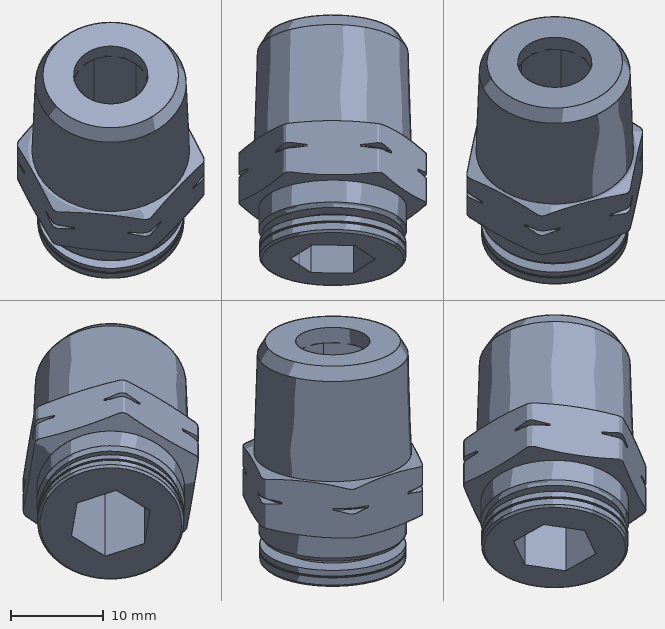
import cadquery as cq
import math

total_height = 25.5
flange_top = 1.96
flange_groove_middle = 1.17
collar_bottom = 2.93
hex_bottom = 5.97
hex_top = 12.55
thread_chamfer_start = 24.05

flange_diameter = 15.8
flange_chamfer = 0.25
flange_groove_width = 0.15
flange_groove_diameter = 15.6
neck_diameter = 11.53
collar_diameter = 16.0
collar_step_diameter = 15.6
collar_end_diameter = 15.25
collar_chamfer_top = 3.42
collar_step_height = 3.21

hex_across_flats = 17.85
hex_corner_radius = 1.0
hex_top_circle = 17.75
hex_bottom_circle = 16.0
hex_chamfer_angle = 15.0

notch_height = 9.66
notch_floor_diameter = 18.77
notch_floor_width = 0.18
notch_mouth_width = 0.76

thread_base_diameter = 17.03
thread_end_diameter = 16.32
thread_tip_diameter = 14.64

bore_diameter = 8.0
socket_across_flats = 7.95
socket_top = total_height - 1.78


def revolve_profile(points):
    """Revolve a closed (radius, height) outline about the Z axis."""
    return cq.Workplane("XZ").polyline(points).close().revolve(360, (0, 0), (0, 1))


def hex_prism(across_flats, bottom, top):
    """Upright hexagonal prism with flats facing +X and -X."""
    across_corners = across_flats / math.cos(math.pi / 6)
    prism = cq.Workplane("XY").polygon(6, across_corners).extrude(top - bottom)
    return prism.rotate((0, 0, 0), (0, 0, 1), 30).translate((0, 0, bottom))


def turned_body():
    flange_radius = flange_diameter / 2
    groove_radius = flange_groove_diameter / 2
    groove_bottom = flange_groove_middle - flange_groove_width / 2
    groove_top = flange_groove_middle + flange_groove_width / 2
    neck_radius = neck_diameter / 2
    return revolve_profile([
        (0, 0),
        (flange_radius - flange_chamfer, 0),
        (flange_radius, flange_chamfer),
        (flange_radius, groove_bottom),
        (groove_radius, groove_bottom),
        (groove_radius, groove_top),
        (flange_radius, groove_top),
        (flange_radius, flange_top),
        (neck_radius, flange_top),
        (neck_radius, collar_bottom),
        (collar_end_diameter / 2, collar_bottom),
        (collar_step_diameter / 2, collar_step_height),
        (collar_diameter / 2, collar_chamfer_top),
        (collar_diameter / 2, hex_top),
        (thread_base_diameter / 2, hex_top),
        (thread_end_diameter / 2, thread_chamfer_start),
        (thread_tip_diameter / 2, total_height),
        (0, total_height),
    ])


def chamfer_envelope():
    """Turned blank whose conical ends chamfer the hexagon corners."""
    outer_radius = hex_across_flats / 2 / math.cos(math.pi / 6)
    slope = math.tan(math.radians(hex_chamfer_angle))
    top_radius = hex_top_circle / 2
    bottom_radius = hex_bottom_circle / 2
    return revolve_profile([
        (0, hex_bottom),
        (bottom_radius, hex_bottom),
        (outer_radius, hex_bottom + slope * (outer_radius - bottom_radius)),
        (outer_radius, hex_top - slope * (outer_radius - top_radius)),
        (top_radius, hex_top),
        (0, hex_top),
    ])


def notch_ring():
    """Tapered ring that reaches only the hexagon corners."""
    floor_radius = notch_floor_diameter / 2
    mouth_radius = hex_across_flats / 2 / math.cos(math.pi / 6)
    return revolve_profile([
        (floor_radius, notch_height - notch_floor_width / 2),
        (mouth_radius, notch_height - notch_mouth_width / 2),
        (mouth_radius, notch_height + notch_mouth_width / 2),
        (floor_radius, notch_height + notch_floor_width / 2),
    ])


def wrench_section():
    blank = hex_prism(hex_across_flats, hex_bottom, hex_top)
    blank = blank.edges("|Z").fillet(hex_corner_radius)
    return blank.intersect(chamfer_envelope()).cut(notch_ring())


def inner_passage():
    bore = cq.Workplane("XY").circle(bore_diameter / 2).extrude(total_height)
    return bore.union(hex_prism(socket_across_flats, 0, socket_top))


result = turned_body().union(wrench_section()).cut(inner_passage())